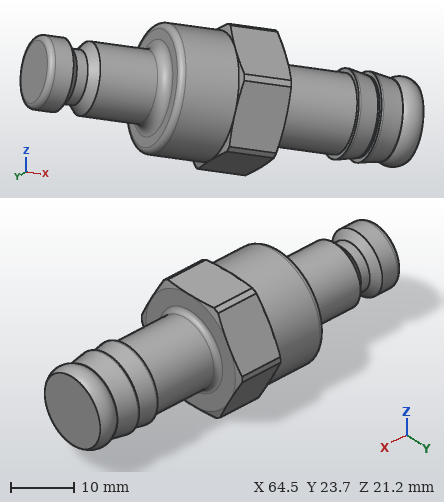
import cadquery as cq
import math

length = 64.5

plug_radius = 11.95 / 2
nose_fillet = 0.95
groove_radius = 8.9 / 2
groove_start = 4.1
groove_floor_start = 5.4
groove_floor_end = 7.3
groove_end = 8.8

collar_radius = 21.0 / 2
collar_start = 20.45
collar_root_fillet = 1.8
collar_edge_fillet = 1.0

hex_start = 30.7
hex_end = 39.5
hex_flats = 21.0
hex_corner_diameter = 23.7
hex_chamfer_length = 0.3
hex_tilt = 1.3

tail_radius = 13.1 / 2
tail_root_fillet = 0.95
barb_radius = 7.3
barb_land = 0.3
barb_spans = ((52.95, 56.55), (56.9, 60.9))
barb_root_radius = 6.65
bead_start = barb_spans[-1][1]
bead_radius = 7.2


def revolve_about_x(profile):
    """Turn a closed half profile, drawn as (x, radius), about the X axis."""
    return profile.close().revolve(360, (0, 0, 0), (1, 0, 0))


def make_plug_and_collar():
    profile = (
        cq.Workplane("XY")
        .lineTo(0, plug_radius - nose_fillet)
        .radiusArc((nose_fillet, plug_radius), nose_fillet)
        .lineTo(groove_start, plug_radius)
        .lineTo(groove_floor_start, groove_radius)
        .lineTo(groove_floor_end, groove_radius)
        .lineTo(groove_end, plug_radius)
        .lineTo(collar_start - collar_root_fillet, plug_radius)
        .radiusArc((collar_start, plug_radius + collar_root_fillet), -collar_root_fillet)
        .lineTo(collar_start, collar_radius - collar_edge_fillet)
        .radiusArc((collar_start + collar_edge_fillet, collar_radius), collar_edge_fillet)
        .lineTo(hex_start, collar_radius)
        .lineTo(hex_start, 0)
    )
    return revolve_about_x(profile)


def make_hexagon():
    prism = (
        cq.Workplane("YZ")
        .workplane(offset=hex_start)
        .polygon(6, hex_flats / math.cos(math.pi / 6))
        .extrude(hex_end - hex_start)
        .rotate((0, 0, 0), (1, 0, 0), hex_tilt)
    )
    face_radius = hex_flats / 2
    corner_radius = hex_corner_diameter / 2
    blank = revolve_about_x(
        cq.Workplane("XY")
        .moveTo(hex_start, 0)
        .lineTo(hex_start, face_radius)
        .lineTo(hex_start + hex_chamfer_length, corner_radius)
        .lineTo(hex_end - hex_chamfer_length, corner_radius)
        .lineTo(hex_end, face_radius)
        .lineTo(hex_end, 0)
    )
    return prism.intersect(blank)


def make_tail():
    profile = (
        cq.Workplane("XY")
        .moveTo(hex_end, 0)
        .lineTo(hex_end, tail_radius + tail_root_fillet)
        .radiusArc((hex_end + tail_root_fillet, tail_radius), -tail_root_fillet)
        .lineTo(bead_start, tail_radius)
        .threePointArc(((bead_start + length) / 2, bead_radius), (length, tail_radius))
        .lineTo(length, 0)
    )
    return revolve_about_x(profile)


def make_barb(start, end):
    """Ring with a narrow land that tapers down towards the free end."""
    profile = (
        cq.Workplane("XY")
        .moveTo(start, 0)
        .lineTo(start, barb_radius)
        .lineTo(start + barb_land, barb_radius)
        .lineTo(end, barb_root_radius)
        .lineTo(end, 0)
    )
    return revolve_about_x(profile)


result = make_plug_and_collar().union(make_hexagon()).union(make_tail())
for barb_start, barb_end in barb_spans:
    result = result.union(make_barb(barb_start, barb_end))